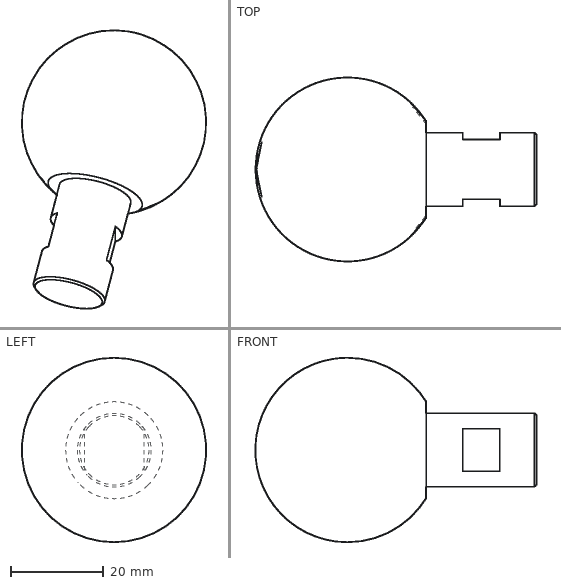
import cadquery as cq

overall_length = 61.0
ball_diameter = 40.0
shank_diameter = 16.0
shank_length = 24.0
end_chamfer = 0.5
across_flats = 13.0
flat_width = 8.0
flat_to_shank_end = 8.0

ball_radius = ball_diameter / 2
shank_end = overall_length - ball_radius
ball_face = shank_end - shank_length
flat_centre = shank_end - flat_to_shank_end - flat_width / 2


def make_ball():
    """Sphere cut off square where the shank leaves it."""
    kept_length = ball_radius + ball_face
    kept_side = cq.Workplane("XY").box(kept_length, ball_diameter, ball_diameter)
    kept_side = kept_side.translate((ball_face - kept_length / 2, 0, 0))
    return cq.Workplane("XY").sphere(ball_radius).intersect(kept_side)


def make_shank():
    """Round shank from the ball centre to its chamfered free end."""
    shank = cq.Workplane("YZ").circle(shank_diameter / 2).extrude(shank_end)
    return shank.faces(">X").chamfer(end_chamfer)


def make_flat_cutter(side):
    """Block that removes one wrench flat on the given Y side (-1 or 1)."""
    cutter = cq.Workplane("XY").box(flat_width, shank_diameter, shank_diameter)
    return cutter.translate((flat_centre, side * (across_flats + shank_diameter) / 2, 0))


result = make_ball().union(make_shank())
for side in (-1, 1):
    result = result.cut(make_flat_cutter(side))